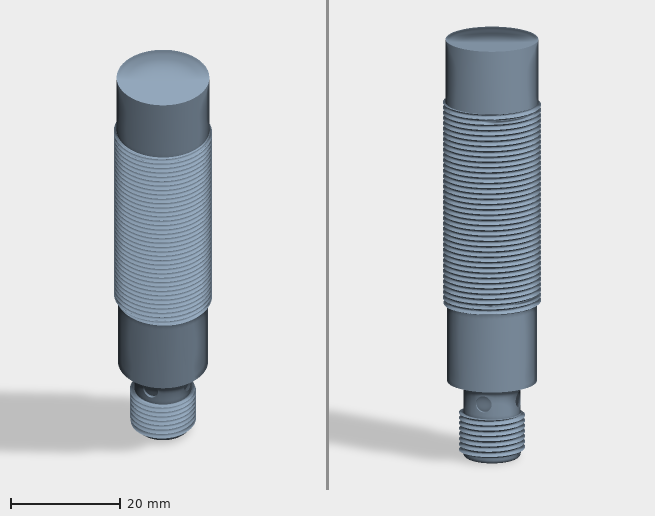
import cadquery as cq
import math

TOTAL_LENGTH = 79.4
BODY_THREAD_TOP = 67.5
BODY_THREAD_BOTTOM = 29.4
BODY_BOTTOM = 14.5
CONNECTOR_THREAD_TOP = 8.6
CONNECTOR_THREAD_BOTTOM = 1.3

CAP_DIAMETER = 17.0
BODY_DIAMETER = 16.5
BODY_THREAD_DIAMETER = 18.0
NECK_DIAMETER = 10.5
CONNECTOR_THREAD_DIAMETER = 12.15
CONNECTOR_ROOT_DIAMETER = 10.55

BODY_THREAD_TURNS = 38
THREAD_PITCH = (BODY_THREAD_TOP - BODY_THREAD_BOTTOM) / BODY_THREAD_TURNS
FLANK_HALF_ANGLE = math.radians(30)
RIDGE_OVERLAP = 0.06
BODY_CREST_HEIGHT = 66.6
CONNECTOR_CREST_HEIGHT = 7.6

COLLAR_DIAMETER = 10.95
COLLAR_HEIGHT = 0.3
NOSE_ROUND = 0.9
DIMPLE_DIAMETER = 3.0
DIMPLE_HEIGHT = 11.35
DIMPLE_DEPTH = 0.55
DIMPLE_COUNT = 4


def cylinder(diameter, bottom, top):
    """Solid cylinder on the Z axis between two heights."""
    return cq.Workplane("XY").workplane(offset=bottom).circle(diameter / 2).extrude(top - bottom)


def threaded_rod(root_diameter, crest_diameter, bottom, top, crest_height):
    """Rod with a right-handed, sharp-crested thread, cut flat at both ends.

    crest_height is any height at which the crest crosses the +X side.
    """
    inner_radius = root_diameter / 2 - RIDGE_OVERLAP
    crest_radius = crest_diameter / 2
    half_base = (crest_radius - inner_radius) * math.tan(FLANK_HALF_ANGLE)

    turns_below = math.ceil((crest_height - bottom) / THREAD_PITCH) + 1
    start = crest_height - turns_below * THREAD_PITCH
    turns = math.ceil((top - start) / THREAD_PITCH) + 1
    end = start + turns * THREAD_PITCH

    helix = cq.Wire.makeHelix(THREAD_PITCH, end - start, root_diameter / 2, center=cq.Vector(0, 0, start))
    ridge = (
        cq.Workplane("XZ")
        .moveTo(inner_radius, start - half_base)
        .lineTo(crest_radius, start)
        .lineTo(inner_radius, start + half_base)
        .close()
        .sweep(cq.Workplane(helix), isFrenet=True)
    )

    rod = cylinder(root_diameter, start - THREAD_PITCH, end + THREAD_PITCH).union(ridge)
    return rod.intersect(cylinder(2 * crest_diameter, bottom, top))


def dimple(angle):
    """Round cutter that sinks a shallow flat pocket into the neck."""
    floor_radius = NECK_DIAMETER / 2 - DIMPLE_DEPTH
    return (
        cq.Workplane("YZ")
        .workplane(offset=floor_radius)
        .center(0, DIMPLE_HEIGHT)
        .circle(DIMPLE_DIAMETER / 2)
        .extrude(NECK_DIAMETER / 2)
        .rotate((0, 0, 0), (0, 0, 1), angle)
    )


nose = cylinder(CONNECTOR_ROOT_DIAMETER, 0, CONNECTOR_THREAD_BOTTOM).faces("<Z").edges().fillet(NOSE_ROUND)
neck = cylinder(NECK_DIAMETER, CONNECTOR_THREAD_TOP, BODY_BOTTOM)
collar = cylinder(COLLAR_DIAMETER, BODY_BOTTOM - COLLAR_HEIGHT, BODY_BOTTOM)
body = cylinder(BODY_DIAMETER, BODY_BOTTOM, BODY_THREAD_BOTTOM)
cap = cylinder(CAP_DIAMETER, BODY_THREAD_TOP, TOTAL_LENGTH)

for index in range(DIMPLE_COUNT):
    neck = neck.cut(dimple(index * 360 / DIMPLE_COUNT))

connector_thread = threaded_rod(
    CONNECTOR_ROOT_DIAMETER,
    CONNECTOR_THREAD_DIAMETER,
    CONNECTOR_THREAD_BOTTOM,
    CONNECTOR_THREAD_TOP,
    CONNECTOR_CREST_HEIGHT,
)
body_thread = threaded_rod(
    BODY_DIAMETER, BODY_THREAD_DIAMETER, BODY_THREAD_BOTTOM, BODY_THREAD_TOP, BODY_CREST_HEIGHT
)

result = nose
for piece in (connector_thread, neck, collar, body, body_thread, cap):
    result = result.union(piece)